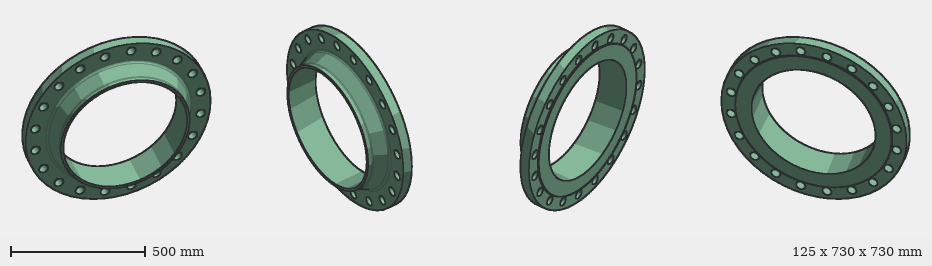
import cadquery as cq

total_length = 125.0
flange_diameter = 730
flange_thickness = 40.0
raised_face_diameter = 615.5
raised_face_base_diameter = 619.0
raised_face_height = 4.0
bore_diameter = 488.0

weld_end_diameter = 508.0
weld_end_length = 20.0
hub_base_diameter = 559.0
hub_fillet_radius = 11.0

bolt_count = 20
bolt_hole_diameter = 36.0
bolt_circle_diameter = 660.0

flange_front_x = raised_face_height
flange_back_x = flange_front_x + flange_thickness
weld_end_x = total_length - weld_end_length


def make_body():
    """Revolve the half section about the X axis."""
    profile = (
        cq.Workplane("XY")
        .moveTo(0, bore_diameter / 2)
        .lineTo(0, raised_face_diameter / 2)
        .lineTo(flange_front_x, raised_face_base_diameter / 2)
        .lineTo(flange_front_x, flange_diameter / 2)
        .lineTo(flange_back_x, flange_diameter / 2)
        .lineTo(flange_back_x, hub_base_diameter / 2)
        .lineTo(weld_end_x, weld_end_diameter / 2)
        .lineTo(total_length, weld_end_diameter / 2)
        .lineTo(total_length, bore_diameter / 2)
        .close()
    )
    return profile.revolve(360, (0, 0, 0), (1, 0, 0))


def fillet_hub_edge(body, edge_x, edge_diameter):
    """Round the circular hub edge of the given diameter lying at the given X."""
    margin = 1.0
    half_width = edge_diameter / 2 + margin
    edge_box = cq.selectors.BoxSelector(
        (edge_x - margin, -half_width, -half_width),
        (edge_x + margin, half_width, half_width),
        boundingbox=True,
    )
    return body.edges(edge_box).fillet(hub_fillet_radius)


def make_bolt_holes():
    """Cylinders through the flange, half a pitch away from the axes."""
    half_pitch_angle = 180 / bolt_count
    return (
        cq.Workplane("YZ")
        .polarArray(bolt_circle_diameter / 2, half_pitch_angle, 360, bolt_count)
        .circle(bolt_hole_diameter / 2)
        .extrude(flange_back_x)
    )


body = make_body()
body = fillet_hub_edge(body, flange_back_x, hub_base_diameter)
body = fillet_hub_edge(body, weld_end_x, weld_end_diameter)
result = body.cut(make_bolt_holes())